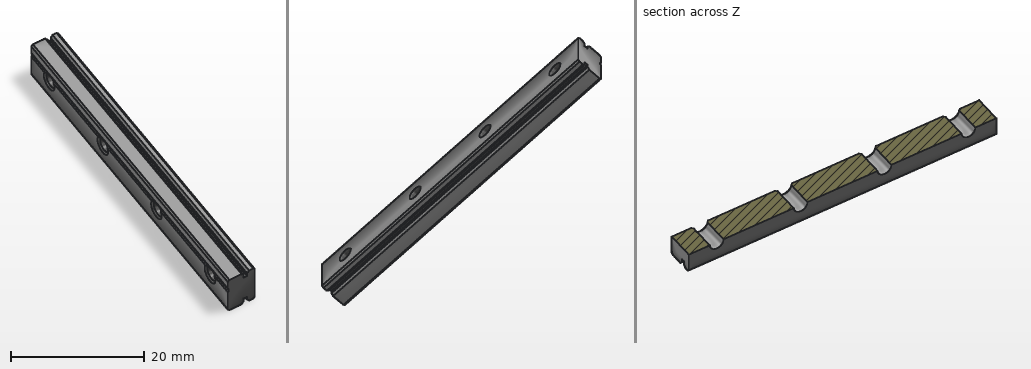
import cadquery as cq
import math

LENGTH = 55.0
WIDTH = 4.8
HEIGHT = 7.0
EDGE_CHAMFER = 0.3

TRACK_RADIUS = 0.68
TRACK_MOUTH_WIDTH = 1.3
RELIEF_WIDTH = 0.6
RELIEF_DEPTH = 1.05
TRACK_CENTER_FROM_BACK = 1.67

LINE_GROOVE_WIDTH = 0.7
LINE_GROOVE_DEPTH = 0.2
LINE_GROOVE_BELOW_TOP = 2.3

HOLE_COUNT = 4
HOLE_PITCH = 15.0
HOLE_DIAMETER = 2.4
COUNTERSINK_DIAMETER = 3.0
COUNTERSINK_DEPTH = 0.3

FRONT_Y = -WIDTH / 2
BACK_Y = WIDTH / 2
TOP_Z = HEIGHT / 2


def along_rail(profile):
    """Extrude a closed (Y, Z) profile over the full rail length."""
    return profile.extrude(LENGTH / 2, both=True)


def make_body():
    body = cq.Workplane("XY").box(LENGTH, WIDTH, HEIGHT)
    return body.edges("|X").chamfer(EDGE_CHAMFER)


def make_raceway(side):
    """Raceway cutter; side is +1 for the top face, -1 for the bottom."""
    center_y = BACK_Y - TRACK_CENTER_FROM_BACK
    axis_above_face = math.sqrt(TRACK_RADIUS**2 - (TRACK_MOUTH_WIDTH / 2) ** 2)
    axis_z = side * (TOP_Z + axis_above_face)
    track = along_rail(cq.Workplane("YZ").center(center_y, axis_z).circle(TRACK_RADIUS))
    relief = cq.Workplane("XY").box(LENGTH, RELIEF_WIDTH, 2 * RELIEF_DEPTH)
    return track.union(relief.translate((0, center_y, side * TOP_Z)))


def make_line_groove():
    center_z = TOP_Z - LINE_GROOVE_BELOW_TOP
    half_width = LINE_GROOVE_WIDTH / 2
    profile = (
        cq.Workplane("YZ")
        .moveTo(FRONT_Y, center_z - half_width)
        .threePointArc((FRONT_Y + LINE_GROOVE_DEPTH, center_z), (FRONT_Y, center_z + half_width))
        .close()
    )
    return along_rail(profile)


def make_hole(x):
    """Through hole along Y with a conical mouth at the front face."""
    radius = HOLE_DIAMETER / 2
    half_section = [
        (x, FRONT_Y),
        (x + COUNTERSINK_DIAMETER / 2, FRONT_Y),
        (x + radius, FRONT_Y + COUNTERSINK_DEPTH),
        (x + radius, BACK_Y),
        (x, BACK_Y),
    ]
    profile = cq.Workplane("XY").polyline(half_section).close()
    return profile.revolve(360, (x, FRONT_Y), (x, BACK_Y))


result = make_body()
for side in (1, -1):
    result = result.cut(make_raceway(side))
result = result.cut(make_line_groove())

first_hole_x = -(HOLE_COUNT - 1) * HOLE_PITCH / 2
for index in range(HOLE_COUNT):
    result = result.cut(make_hole(first_hole_x + index * HOLE_PITCH))